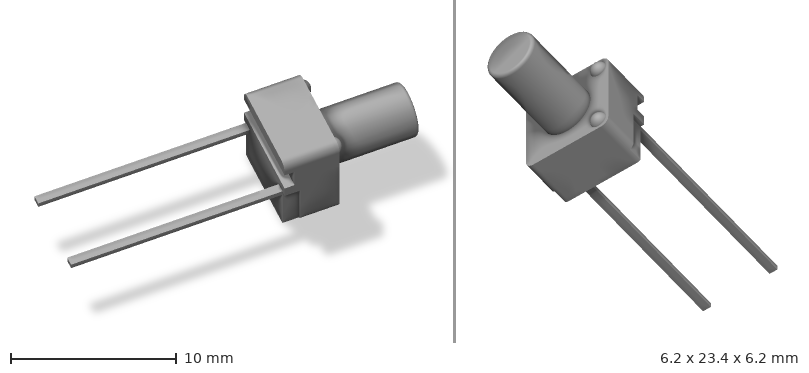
import cadquery as cq

TOTAL_LENGTH = 23.37

BODY_SIDE = 6.2
CORNER_RADIUS = 0.55
BODY_DEPTH = 3.62
PLATE_THICKNESS = 0.25

SLOT_HEIGHT = 1.33
SLOT_DEPTH = 0.65
SLOT_BELOW_TOP = 0.93

RECESS_INSET = 0.28
RECESS_DEPTH = 1.05
RECESS_TOP_Z = 0.07

BUTTON_RADIUS = 1.75
BUTTON_LENGTH = 5.85
BUTTON_EDGE_RADIUS = 0.23

RIVET_RADIUS = 0.55
RIVET_HEIGHT = 0.42
RIVET_OFFSET = 2.34

PIN_WIDTH = 0.58
PIN_THICKNESS = 0.35
PIN_OFFSET = 2.5
PIN_LENGTH = TOTAL_LENGTH - BUTTON_LENGTH - BODY_DEPTH

PLATE_FRONT_Y = TOTAL_LENGTH / 2 - BUTTON_LENGTH
PLATE_BACK_Y = PLATE_FRONT_Y - PLATE_THICKNESS
HOUSING_BACK_Y = PLATE_FRONT_Y - BODY_DEPTH


def plane_facing_back(y):
    """XZ work plane at the given Y; extrusions from it run toward -Y."""
    return cq.Workplane("XZ", origin=(0, y, 0))


def rounded_square(front_y, depth):
    block = plane_facing_back(front_y).rect(BODY_SIDE, BODY_SIDE).extrude(depth)
    return block.edges("|Y").fillet(CORNER_RADIUS)


def make_housing():
    housing = rounded_square(PLATE_BACK_Y, BODY_DEPTH - PLATE_THICKNESS)

    slot_z = BODY_SIDE / 2 - SLOT_BELOW_TOP - SLOT_HEIGHT / 2
    slot = (
        plane_facing_back(HOUSING_BACK_Y + SLOT_DEPTH)
        .center(0, slot_z)
        .rect(BODY_SIDE, SLOT_HEIGHT)
        .extrude(SLOT_DEPTH)
    )
    housing = housing.cut(slot)

    recess_height = RECESS_TOP_Z + BODY_SIDE / 2
    recess_x = (BODY_SIDE - RECESS_INSET) / 2
    recesses = (
        plane_facing_back(HOUSING_BACK_Y + RECESS_DEPTH)
        .center(0, RECESS_TOP_Z - recess_height / 2)
        .pushPoints([(-recess_x, 0), (recess_x, 0)])
        .rect(RECESS_INSET, recess_height)
        .extrude(RECESS_DEPTH)
    )
    return housing.cut(recesses)


def make_plate():
    return rounded_square(PLATE_FRONT_Y, PLATE_THICKNESS)


def make_button():
    button = plane_facing_back(PLATE_FRONT_Y).circle(BUTTON_RADIUS).extrude(-BUTTON_LENGTH)
    return button.faces(">Y").edges().fillet(BUTTON_EDGE_RADIUS)


def make_rivet(x, z):
    """Spherical cap standing on the front of the plate."""
    sphere_radius = (RIVET_RADIUS**2 + RIVET_HEIGHT**2) / (2 * RIVET_HEIGHT)
    centre_y = PLATE_FRONT_Y + RIVET_HEIGHT - sphere_radius
    sphere = cq.Workplane("XY").sphere(sphere_radius).translate((x, centre_y, z))
    front_space = (
        plane_facing_back(PLATE_FRONT_Y)
        .center(x, z)
        .rect(3 * sphere_radius, 3 * sphere_radius)
        .extrude(-2 * sphere_radius)
    )
    return sphere.intersect(front_space)


def make_pin(x):
    return plane_facing_back(HOUSING_BACK_Y).center(x, 0).rect(PIN_WIDTH, PIN_THICKNESS).extrude(PIN_LENGTH)


housing = make_housing()
plate = make_plate()
button = make_button()

rivet_corners = [(-1, 1), (1, 1), (-1, -1)]
rivets = [make_rivet(side_x * RIVET_OFFSET, side_z * RIVET_OFFSET) for side_x, side_z in rivet_corners]
pins = [make_pin(side * PIN_OFFSET) for side in (-1, 1)]

result = cq.Compound.makeCompound(
    [
        housing.val(),
        plate.val(),
        button.val(),
        *[rivet.val() for rivet in rivets],
        *[pin.val() for pin in pins],
    ]
)